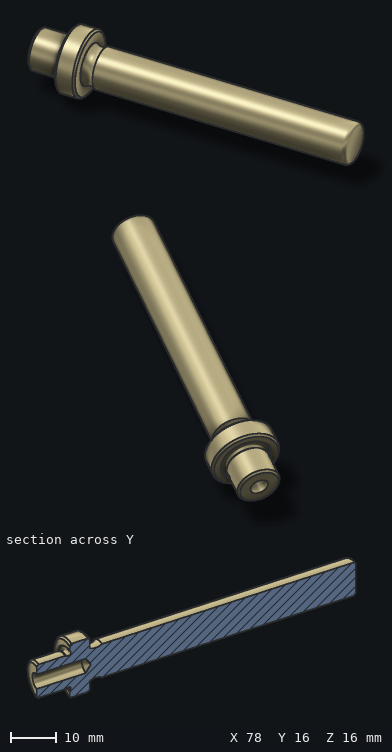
import cadquery as cq
import math

length = 78.0
shaft_radius = 5.0
flange_radius = 7.995
flange_start = 8.0
flange_width = 5.0
edge_chamfer = 0.5

relief_reach = 1.0
relief_depth = 0.2
relief_ramp = 0.27
relief_corner_radius = 0.2

neck_width = 3.0
neck_depth = 0.5
end_round_radius = 1.0

hole_radius = 2.07
hole_depth = 12.0
drill_tip_angle = 118.0

flange_end = flange_start + flange_width
neck_end = flange_end + neck_width


def revolve_about_x(profile):
    return profile.revolve(360, (0, 0, 0), (1, 0, 0))


def arc_inset(radius):
    """Distance, along each side of a square corner, to the middle of its rounding arc."""
    return radius * (1 - math.sqrt(0.5))


def make_body():
    relief_start = flange_start - relief_reach
    relief_top = shaft_radius + relief_reach
    relief_floor = shaft_radius - relief_depth
    relief_wall = flange_start + relief_depth
    relief_inset = arc_inset(relief_corner_radius)
    end_inset = arc_inset(end_round_radius)

    profile = (
        cq.Workplane("XY")
        .moveTo(0, 0)
        .lineTo(0, shaft_radius - edge_chamfer)
        .lineTo(edge_chamfer, shaft_radius)
        .lineTo(relief_start, shaft_radius)
        .lineTo(relief_start + relief_ramp, relief_floor)
        .lineTo(relief_wall - relief_corner_radius, relief_floor)
        .threePointArc(
            (relief_wall - relief_inset, relief_floor + relief_inset),
            (relief_wall, relief_floor + relief_corner_radius),
        )
        .lineTo(relief_wall, relief_top - relief_ramp)
        .lineTo(flange_start, relief_top)
        .lineTo(flange_start, flange_radius - edge_chamfer)
        .lineTo(flange_start + edge_chamfer, flange_radius)
        .lineTo(flange_end - edge_chamfer, flange_radius)
        .lineTo(flange_end, flange_radius - edge_chamfer)
        .lineTo(flange_end, shaft_radius)
        .threePointArc(
            (flange_end + neck_width / 2, shaft_radius - neck_depth),
            (neck_end, shaft_radius),
        )
        .lineTo(length - end_round_radius, shaft_radius)
        .threePointArc(
            (length - end_inset, shaft_radius - end_inset),
            (length, shaft_radius - end_round_radius),
        )
        .lineTo(length, 0)
        .close()
    )
    return revolve_about_x(profile)


def make_hole():
    tip_length = hole_radius / math.tan(math.radians(drill_tip_angle / 2))
    profile = (
        cq.Workplane("XY")
        .moveTo(0, 0)
        .lineTo(0, hole_radius)
        .lineTo(hole_depth, hole_radius)
        .lineTo(hole_depth + tip_length, 0)
        .close()
    )
    return revolve_about_x(profile)


result = make_body().cut(make_hole())